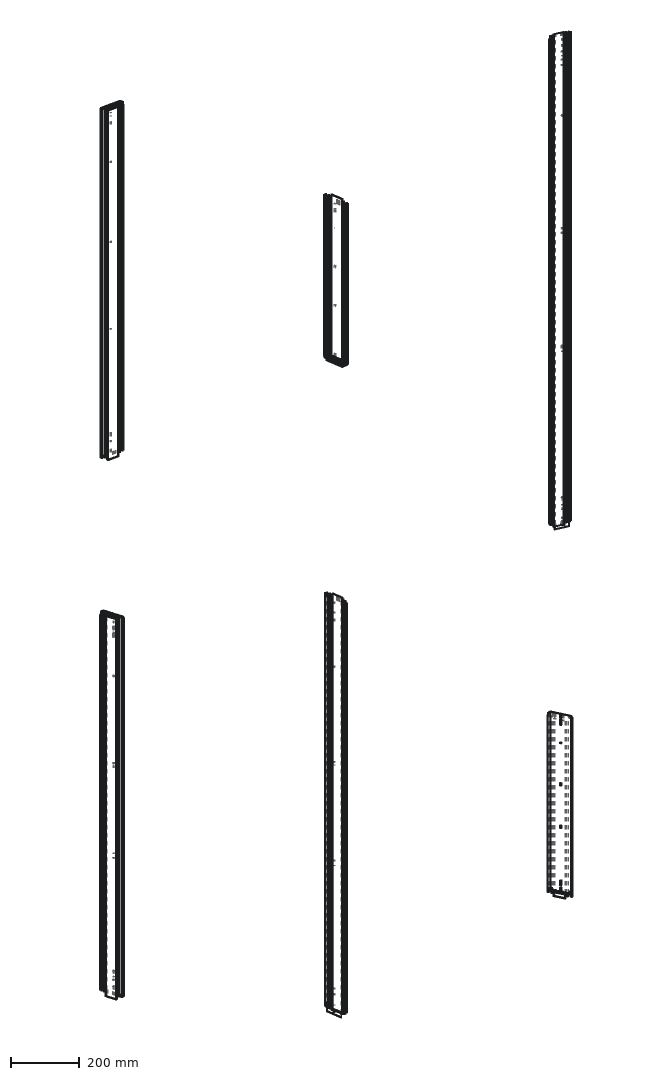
import cadquery as cq
import math


LENGTH = 1524.0
WIDTH = 76.0
DEPTH = 20.0
BACK_X = -DEPTH / 2
FRONT_X = DEPTH / 2

RAIL_WALL = 2.3
RETAINER_WALL = 0.9

LIP_ANGLE = 40
OUTER_ARC_RADIUS = 8.8
RACEWAY_X = 0.8
RACEWAY_Y = WIDTH / 2 - OUTER_ARC_RADIUS

TONGUE_HALF_WIDTH = 26.0
TONGUE_LENGTH = 17.0
TOP_NOTCH_X = -2.0
TOP_NOTCH_LENGTH = 10.0

MIDDLE_BACK_X = -3.8
MIDDLE_ARC_RADIUS = 4.3
MIDDLE_BOTTOM_Z = 12.0
WIDE_RETAINER_BACK_X = -6.7
WIDE_RETAINER_ARC_RADIUS = 5.5
NARROW_RETAINER_BACK_X = 0.8
NARROW_RETAINER_ARC_RADIUS = 3.0
NARROW_RETAINER_ARC_X = 3.8
NARROW_RETAINER_ARC_Y = 22.1

INNER_HALF_WIDTH = 18.0
INNER_REAR_X = 2.3
INNER_CORNER_RADIUS = 1.2
INNER_BOTTOM_Z = 2.0

HOLE_DIAMETER = 5.0
HOLE_HEIGHTS = [32.0, 60.0, 95.0, 913.0, 927.0, 1275.0, 1492.0, 1510.0]
SHORT_SLOT_LENGTH = 15.0
SHORT_SLOT_HEIGHTS = [15.0, 80.0, 1468.0]
LONG_SLOT_LENGTH = 20.0
LONG_SLOT_HEIGHTS = [556.0, 1440.0]


def box_between(x_range, y_range, z_range):
    """Box that spans the given ranges."""
    sizes = [high - low for low, high in (x_range, y_range, z_range)]
    corner = (x_range[0], y_range[0], z_range[0])
    return cq.Workplane("XY").box(*sizes, centered=False).translate(corner)


def raceway_channel(back_x, arc_center, arc_radius, wall, bottom_z):
    """Channel open toward +X: flat web, 45 degree bends and flanges curved into ball raceways."""
    arc_x, arc_y = arc_center

    def flange_points(radius, web_x):
        reach = radius * math.sin(math.radians(45))
        tip_angle = math.radians(LIP_ANGLE)
        arc_start = (arc_x - reach, arc_y + reach)
        arc_crown = (arc_x, arc_y + radius)
        arc_end = (arc_x + radius * math.sin(tip_angle), arc_y + radius * math.cos(tip_angle))
        web_end = (web_x, arc_start[1] - (arc_start[0] - web_x))
        return web_end, arc_start, arc_crown, arc_end

    def mirrored(point):
        return (point[0], -point[1])

    web_out, start_out, crown_out, end_out = flange_points(arc_radius, back_x)
    web_in, start_in, crown_in, end_in = flange_points(arc_radius - wall, back_x + wall)
    return (
        cq.Workplane("XY", origin=(0, 0, bottom_z))
        .moveTo(*mirrored(web_out))
        .lineTo(*web_out)
        .lineTo(*start_out)
        .threePointArc(crown_out, end_out)
        .lineTo(*end_in)
        .threePointArc(crown_in, start_in)
        .lineTo(*web_in)
        .lineTo(*mirrored(web_in))
        .lineTo(*mirrored(start_in))
        .threePointArc(mirrored(crown_in), mirrored(end_in))
        .lineTo(*mirrored(end_out))
        .threePointArc(mirrored(crown_out), mirrored(start_out))
        .close()
        .extrude(LENGTH - bottom_z)
    )


def web_cutters():
    """Round holes and upright slots, as cutters that pass only through the outer rail's web."""

    def centers(heights):
        return cq.Workplane("YZ", origin=(BACK_X, 0, 0)).pushPoints([(0, z) for z in heights])

    outlines = [centers(HOLE_HEIGHTS).circle(HOLE_DIAMETER / 2)]
    for heights, length in (
        (SHORT_SLOT_HEIGHTS, SHORT_SLOT_LENGTH),
        (LONG_SLOT_HEIGHTS, LONG_SLOT_LENGTH),
    ):
        outlines.append(centers(heights).slot2D(length, HOLE_DIAMETER, 90))
    return [outline.extrude(RAIL_WALL) for outline in outlines]


def make_outer_rail():
    """Widest rail: its web ends in a bottom tongue, and its flange lips are cut back at the top."""
    rail = raceway_channel(BACK_X, (RACEWAY_X, RACEWAY_Y), OUTER_ARC_RADIUS, RAIL_WALL, 0)
    for side_range in ((TONGUE_HALF_WIDTH, WIDTH / 2), (-WIDTH / 2, -TONGUE_HALF_WIDTH)):
        rail = rail.cut(box_between((BACK_X, FRONT_X), side_range, (0, TONGUE_LENGTH)))
    notch_z = (LENGTH - TOP_NOTCH_LENGTH, LENGTH)
    rail = rail.cut(box_between((TOP_NOTCH_X, FRONT_X), (-WIDTH / 2, WIDTH / 2), notch_z))
    for cutter in web_cutters():
        rail = rail.cut(cutter)
    return rail


def make_intermediate_rail():
    """Middle rail, nested in the outer one and slightly shorter at the bottom."""
    return raceway_channel(
        MIDDLE_BACK_X, (RACEWAY_X, RACEWAY_Y), MIDDLE_ARC_RADIUS, RAIL_WALL, MIDDLE_BOTTOM_Z
    )


def make_inner_rail():
    """Narrowest rail: a channel open toward -X, whose web stands proud of the other rails."""
    z_range = (INNER_BOTTOM_Z, LENGTH)
    outside = box_between((INNER_REAR_X, FRONT_X), (-INNER_HALF_WIDTH, INNER_HALF_WIDTH), z_range)
    outside = outside.edges("|Z and >X").fillet(INNER_CORNER_RADIUS)
    inside_half_width = INNER_HALF_WIDTH - RAIL_WALL
    inside_x = (INNER_REAR_X, FRONT_X - RAIL_WALL)
    return outside.cut(box_between(inside_x, (-inside_half_width, inside_half_width), z_range))


def make_ball_retainer(back_x, arc_center, arc_radius):
    """Thin channel open toward +X, lying in the gap between two rails."""
    return raceway_channel(back_x, arc_center, arc_radius, RETAINER_WALL, MIDDLE_BOTTOM_Z)


outer_rail = make_outer_rail()
intermediate_rail = make_intermediate_rail()
inner_rail = make_inner_rail()
ball_retainers = [
    make_ball_retainer(back_x, arc_center, arc_radius)
    for back_x, arc_center, arc_radius in (
        (WIDE_RETAINER_BACK_X, (RACEWAY_X, RACEWAY_Y), WIDE_RETAINER_ARC_RADIUS),
        (
            NARROW_RETAINER_BACK_X,
            (NARROW_RETAINER_ARC_X, NARROW_RETAINER_ARC_Y),
            NARROW_RETAINER_ARC_RADIUS,
        ),
    )
]

result = cq.Compound.makeCompound(
    [
        outer_rail.val(),
        intermediate_rail.val(),
        inner_rail.val(),
        *[retainer.val() for retainer in ball_retainers],
    ]
)